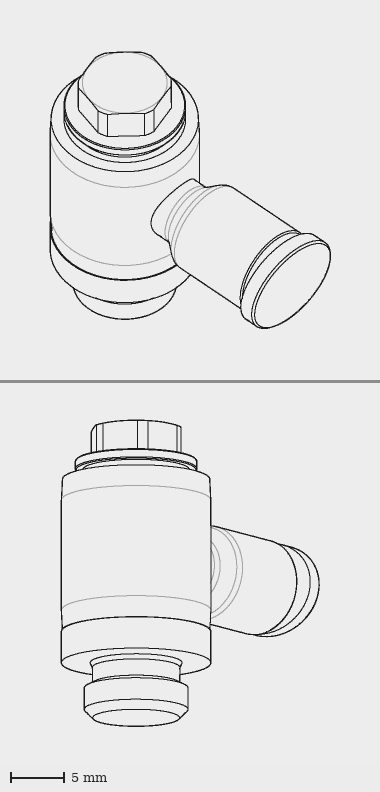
import cadquery as cq
import math

tip_chamfer = 0.8
thread_top = 2.85
relief_bottom = 3.25
relief_top = 4.8
collar_bottom = 5.25
collar_top = 8.25
housing_top = 22.75
flange_bottom = 23.65
flange_top = 24.55
head_top = 27.6

thread_diameter = 9.73
relief_diameter = 8.2
relief_flare_diameter = 8.6
collar_diameter = 14.0
shaft_diameter = 11.4
groove_diameter = 10.0
flange_edge_chamfer = 0.1
hex_across_flats = 8.0
hex_corner_diameter = 8.72
hex_rotation = -15.0
hex_top_circle_diameter = 7.93
hex_chamfer_angle = 15.0

housing_diameter = 14.0
housing_end_diameter = 13.8
taper_length = 2.0

branch_z = 15.5
branch_neck_diameter = 6.2
branch_diameter = 9.0
shoulder_start_x = 8.4
shoulder_end_x = 10.22
shoulder_fillet = 1.0
branch_end_x = 19.15
branch_end_chamfer = 0.15

collet_neck_diameter = 5.5
collet_flange_x = 19.9
collet_end_x = 21.5
collet_width = 10.77
collet_height = 8.6
collet_end_chamfer = 0.2


def revolve_about_z(profile):
    """Closed solid of revolution from (radius, height) points that start and end on the Z axis."""
    return cq.Workplane("XZ").polyline(profile).close().revolve(360, (0, 0, 0), (0, 1, 0))


def make_hex_head():
    """Hexagon with rounded corners and a shallow conical chamfer around its top."""
    height = head_top - flange_top
    circumscribed_diameter = hex_across_flats / math.cos(math.radians(30))
    prism = (
        cq.Workplane("XY", origin=(0, 0, flange_top))
        .transformed(rotate=(0, 0, hex_rotation))
        .polygon(6, circumscribed_diameter)
        .extrude(height)
    )
    corner_radius = hex_corner_diameter / 2
    top_radius = hex_top_circle_diameter / 2
    chamfer_drop = (corner_radius - top_radius) * math.tan(math.radians(hex_chamfer_angle))
    envelope = revolve_about_z([
        (0, flange_top),
        (corner_radius, flange_top),
        (corner_radius, head_top - chamfer_drop),
        (top_radius, head_top),
        (0, head_top),
    ])
    return prism.intersect(envelope)


def make_bolt():
    """Threaded end, collar, plain shaft with a groove above the housing, flange and hex head."""
    thread_radius = thread_diameter / 2
    relief_radius = relief_diameter / 2
    collar_radius = collar_diameter / 2
    shaft_radius = shaft_diameter / 2
    groove_radius = groove_diameter / 2
    flange_face_radius = shaft_radius - flange_edge_chamfer
    turned = revolve_about_z([
        (0, 0),
        (thread_radius - tip_chamfer, 0),
        (thread_radius, tip_chamfer),
        (thread_radius, thread_top),
        (relief_radius, relief_bottom),
        (relief_radius, relief_top),
        (relief_flare_diameter / 2, collar_bottom),
        (collar_radius, collar_bottom),
        (collar_radius, collar_top),
        (shaft_radius, collar_top),
        (shaft_radius, housing_top),
        (groove_radius, housing_top),
        (groove_radius, flange_bottom),
        (flange_face_radius, flange_bottom),
        (shaft_radius, flange_bottom + flange_edge_chamfer),
        (shaft_radius, flange_top - flange_edge_chamfer),
        (flange_face_radius, flange_top),
        (0, flange_top),
    ])
    return turned.union(make_hex_head())


def make_housing():
    """Sleeve on the bolt shaft, slightly tapered towards both ends."""
    bore_radius = shaft_diameter / 2
    end_radius = housing_end_diameter / 2
    middle_radius = housing_diameter / 2
    return revolve_about_z([
        (bore_radius, collar_top),
        (end_radius, collar_top),
        (middle_radius, collar_top + taper_length),
        (middle_radius, housing_top - taper_length),
        (end_radius, housing_top),
        (bore_radius, housing_top),
    ])


def make_branch():
    """Neck, filleted conical shoulder and barrel; the neck is trimmed to the housing wall."""
    neck_radius = branch_neck_diameter / 2
    barrel_radius = branch_diameter / 2
    branch = (
        cq.Workplane("XZ", origin=(0, 0, branch_z))
        .polyline([
            (0, 0),
            (0, neck_radius),
            (shoulder_start_x, neck_radius),
            (shoulder_end_x, barrel_radius),
            (branch_end_x, barrel_radius),
            (branch_end_x, 0),
        ])
        .close()
        .revolve(360, (0, 0, 0), (1, 0, 0))
    )
    branch = branch.faces(">X").edges().chamfer(branch_end_chamfer)
    shoulder_edges = cq.selectors.BoxSelector(
        (shoulder_start_x - shoulder_fillet, -branch_diameter, branch_z - branch_diameter),
        (shoulder_end_x + shoulder_fillet, branch_diameter, branch_z + branch_diameter),
    )
    branch = branch.edges("%CIRCLE").edges(shoulder_edges).fillet(shoulder_fillet)
    housing_envelope = cq.Workplane("XY").circle(housing_diameter / 2).extrude(housing_top)
    return branch.cut(housing_envelope)


def make_collet():
    """Round neck standing on the branch mouth, carrying an elliptical release flange."""
    neck = (
        cq.Workplane("YZ", origin=(branch_end_x, 0, branch_z))
        .circle(collet_neck_diameter / 2)
        .extrude(collet_flange_x - branch_end_x)
    )
    flange = (
        cq.Workplane("YZ", origin=(collet_flange_x, 0, branch_z))
        .ellipse(collet_width / 2, collet_height / 2)
        .extrude(collet_end_x - collet_flange_x)
        .faces(">X").edges().chamfer(collet_end_chamfer)
    )
    return neck.union(flange)


bolt = make_bolt()
housing = make_housing()
branch = make_branch()
collet = make_collet()

result = cq.Compound.makeCompound([
    bolt.solids().val(),
    housing.solids().val(),
    branch.solids().val(),
    collet.solids().val(),
])